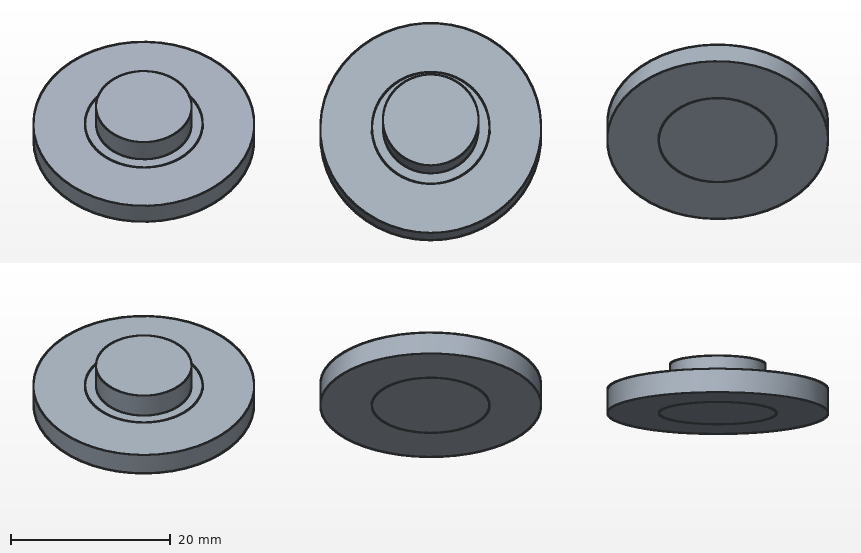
import cadquery as cq

ring_diameter = 27.7
ring_thickness = 3.0
bore_diameter = 14.8

flange_diameter = 14.7
flange_thickness = ring_thickness
boss_diameter = 12.0
overall_height = 6.2
boss_height = overall_height - flange_thickness


def make_ring():
    """Flat ring with a plain through bore."""
    return (
        cq.Workplane("XY")
        .circle(ring_diameter / 2)
        .circle(bore_diameter / 2)
        .extrude(ring_thickness)
    )


def make_plug():
    """Round flange filling the bore, with a smaller boss standing on it."""
    flange = cq.Workplane("XY").circle(flange_diameter / 2).extrude(flange_thickness)
    boss = (
        cq.Workplane("XY")
        .workplane(offset=flange_thickness)
        .circle(boss_diameter / 2)
        .extrude(boss_height)
    )
    return flange.union(boss)


ring = make_ring()
plug = make_plug()

result = cq.Compound.makeCompound([ring.val(), plug.val()])